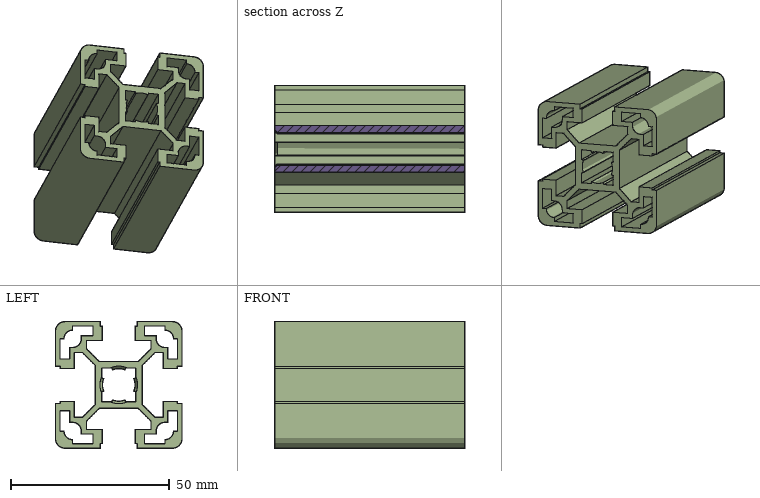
import cadquery as cq
import math

length = 60.0
width = 40.0
corner_radius = 3.1
wall = 1.5

slot_mouth = 10.3
slot_recess = 11.65
slot_width = 20.35
lip_depth = 6.0
core_width = 14.9
web_thickness = 1.8

cavity_circle_radius = 2.7
cavity_circle_inset = 5.45
cavity_leg_depth = 4.5
cavity_leg_end = 11.8

bore_width = 10.6
rib_bore_radius = 5.1
rib_half_angle = 22.5
countersink_radius = 5.95
countersink_depth = countersink_radius - rib_bore_radius

half = width / 2
quarter_turns = (0, 90, 180, 270)


def section_plane():
    """YZ plane at the -X end, extruding towards +X."""
    return cq.Workplane("YZ", origin=(-length / 2, 0, 0))


def around_axis(body):
    """Four copies of a body, a quarter turn apart about the X axis."""
    return [body.rotate((0, 0, 0), (1, 0, 0), angle) for angle in quarter_turns]


def t_slot():
    """Slot opening at +Z, with its floor tapering along the diagonal webs."""
    web_offset = web_thickness / math.sqrt(2)
    core = core_width / 2
    side = slot_width / 2
    lip_back = half - lip_depth
    right_side = [
        (core - web_offset, core),
        (side, side + web_offset),
        (side, lip_back),
        (slot_mouth / 2, lip_back),
        (slot_mouth / 2, half - wall),
        (slot_recess / 2, half - wall),
        (slot_recess / 2, half),
    ]
    left_side = [(-y, z) for y, z in reversed(right_side)]
    return section_plane().polyline(right_side + left_side).close().extrude(length)


def corner_cavity():
    """Two-legged cavity in the +Y +Z corner, rounded where the legs meet."""
    outer = half - wall
    inner = half - cavity_leg_depth
    end = half - cavity_leg_end
    center = half - cavity_circle_inset
    far = center + cavity_circle_radius
    near = center - cavity_circle_radius
    diagonal = cavity_circle_radius / math.sqrt(2)
    return (
        section_plane()
        .moveTo(center, outer)
        .lineTo(end, outer)
        .lineTo(end, inner)
        .lineTo(near, inner)
        .lineTo(near, center)
        .threePointArc((center - diagonal, center - diagonal), (center, near))
        .lineTo(inner, near)
        .lineTo(inner, end)
        .lineTo(outer, end)
        .lineTo(outer, center)
        .lineTo(far, center)
        .threePointArc((center + diagonal, center + diagonal), (center, far))
        .close()
        .extrude(length)
    )


def bore_rib():
    """Rib on the +Z bore wall with radial sides and a concave tip."""
    base = bore_width / 2
    angle = math.radians(rib_half_angle)
    base_y = base * math.tan(angle)
    tip_y = rib_bore_radius * math.sin(angle)
    tip_z = rib_bore_radius * math.cos(angle)
    return (
        section_plane()
        .moveTo(-base_y, base)
        .lineTo(-tip_y, tip_z)
        .threePointArc((0, rib_bore_radius), (tip_y, tip_z))
        .lineTo(base_y, base)
        .close()
        .extrude(length)
    )


def ribbed_bore():
    bore = section_plane().rect(bore_width, bore_width).extrude(length)
    for rib in around_axis(bore_rib()):
        bore = bore.cut(rib)
    return bore


def countersink():
    """Conical lead-in at the -X end of the bore."""
    cone = cq.Solid.makeCone(
        countersink_radius,
        rib_bore_radius,
        countersink_depth,
        pnt=cq.Vector(-length / 2, 0, 0),
        dir=cq.Vector(1, 0, 0),
    )
    return cq.Workplane(cone)


profile = section_plane().rect(width, width).extrude(length).edges("|X").fillet(corner_radius)
for cutter in around_axis(t_slot()) + around_axis(corner_cavity()):
    profile = profile.cut(cutter)
result = profile.cut(ribbed_bore()).cut(countersink())